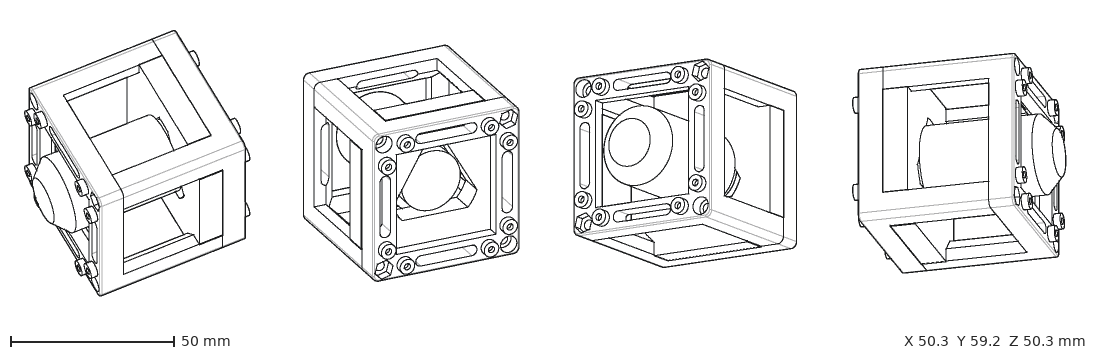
import cadquery as cq
import math

CUBE_SIZE = 49.8
BAR = 8.0
WINDOW = CUBE_SIZE - 2 * BAR
HALF_CUBE = CUBE_SIZE / 2
INNER_BEVEL = 4.0
BEVEL_REACH = WINDOW + INNER_BEVEL
POST_CENTRE = HALF_CUBE - BAR / 2
CORNER_RADIUS = 2.0
RIM_RADIUS = 0.5

SCREW_OFFSET = 21.2
SCREW_HOLE_DIAMETER = 3.1
HEAD_RECESS_DIAMETER = 5.5
NUT_ACROSS_FLATS = 5.5
NUT_ACROSS_CORNERS = NUT_ACROSS_FLATS / math.cos(math.radians(30))
NUT_TURN = 15.0
HEAD_RECESS_DEPTH = 4.0
NUT_RECESS_DEPTH = 3.0

SLOT_OFFSET = 20.75
SLOT_LENGTH = 20.8
SLOT_WIDTH = 3.5

STUD_DIAMETER = 4.95
STUD_HEIGHT = 2.2
STUD_OFFSET = 20.65
STUD_HALF_PITCH = 14.3
SOCKET_DIAMETER = 2.05
SOCKET_DEPTH = 1.5

PLATE_SPAN = 50.3
PLATE_THICKNESS = BAR
PLATE_REAR = HALF_CUBE - BAR
PLATE_FRONT = PLATE_REAR - PLATE_THICKNESS
OPENING_RADIUS = 15.0

BARREL_DIAMETER = 25.0
SPIGOT_DIAMETER = 20.0
SPIGOT_LENGTH = 5.0
NOSE_CHAMFER = 5.0
BARREL_FRONT = -HALF_CUBE - STUD_HEIGHT - NOSE_CHAMFER

TRIANGLE_CIRCUMDIAMETER = 2 * SPIGOT_DIAMETER

POST_CORNERS = [(-1, 1), (1, -1)]
SOCKET_CORNERS = [(-1, -1), (1, 1)]


def plane_at(y):
    """Workplane at a given Y, local X along +X, local Y along +Z, extruding towards -Y."""
    return cq.Workplane("XZ", origin=(0, y, 0))


def corner_points(corners, offset):
    return [(sx * offset, sz * offset) for sx, sz in corners]


def make_hollow():
    """Everything removed from the solid cube: windows along each axis and the bevelled inner cavity."""
    windows = cq.Workplane("XY")
    cavity = None
    for normal in ("XY", "YZ", "XZ"):
        side = cq.Workplane(normal)
        windows = windows.union(side.rect(WINDOW, WINDOW).extrude(HALF_CUBE, both=True))
        diamond = side.polygon(4, 2 * BEVEL_REACH).extrude(HALF_CUBE, both=True)
        cavity = diamond if cavity is None else cavity.intersect(diamond)
    return windows.union(cavity)


def make_blank():
    """Square ring with two diagonal posts, round long edges and a small round on the outer rim."""
    block = (
        plane_at(PLATE_REAR)
        .rect(CUBE_SIZE, CUBE_SIZE)
        .extrude(CUBE_SIZE - BAR)
        .edges("|Y")
        .fillet(CORNER_RADIUS)
        .faces("<Y")
        .edges()
        .fillet(RIM_RADIUS)
    )
    ring = plane_at(BAR - HALF_CUBE).rect(CUBE_SIZE, CUBE_SIZE).extrude(BAR)
    posts = (
        plane_at(PLATE_REAR)
        .pushPoints(corner_points(POST_CORNERS, POST_CENTRE))
        .rect(BAR, BAR)
        .extrude(CUBE_SIZE - BAR)
    )
    return block.intersect(ring.union(posts)).cut(make_hollow())


def make_screw_cuts():
    """Corner screw holes, with head recesses at the posts and nut recesses at the other corners."""
    all_corners = POST_CORNERS + SOCKET_CORNERS
    holes = (
        plane_at(HALF_CUBE)
        .pushPoints(corner_points(all_corners, SCREW_OFFSET))
        .circle(SCREW_HOLE_DIAMETER / 2)
        .extrude(CUBE_SIZE)
    )
    head_recesses = (
        plane_at(HEAD_RECESS_DEPTH - HALF_CUBE)
        .pushPoints(corner_points(POST_CORNERS, SCREW_OFFSET))
        .circle(HEAD_RECESS_DIAMETER / 2)
        .extrude(HEAD_RECESS_DEPTH)
    )
    cuts = holes.union(head_recesses)
    for x, z in corner_points(SOCKET_CORNERS, SCREW_OFFSET):
        nut_recess = (
            plane_at(NUT_RECESS_DEPTH - HALF_CUBE)
            .center(x, z)
            .transformed(rotate=(0, 0, NUT_TURN))
            .polygon(6, NUT_ACROSS_CORNERS)
            .extrude(NUT_RECESS_DEPTH)
        )
        cuts = cuts.union(nut_recess)
    return cuts


def make_slots():
    """One slot through each bar of the ring."""
    slot_start = plane_at(BAR - HALF_CUBE)
    level = slot_start.pushPoints([(0, -SLOT_OFFSET), (0, SLOT_OFFSET)])
    upright = slot_start.pushPoints([(-SLOT_OFFSET, 0), (SLOT_OFFSET, 0)])
    level_slots = level.slot2D(SLOT_LENGTH, SLOT_WIDTH).extrude(BAR)
    upright_slots = upright.slot2D(SLOT_LENGTH, SLOT_WIDTH, 90).extrude(BAR)
    return level_slots.union(upright_slots)


def stud_points():
    """Two studs on each bar, mirrored about the barrel axis."""
    points = []
    for sx in (-1, 1):
        for sz in (-1, 1):
            points.append((sx * STUD_HALF_PITCH, sz * STUD_OFFSET))
            points.append((sx * STUD_OFFSET, sz * STUD_HALF_PITCH))
    return points


def make_studs():
    studs = plane_at(-HALF_CUBE).pushPoints(stud_points()).circle(STUD_DIAMETER / 2).extrude(STUD_HEIGHT)
    sockets = (
        plane_at(SOCKET_DEPTH - HALF_CUBE - STUD_HEIGHT)
        .pushPoints(stud_points())
        .circle(SOCKET_DIAMETER / 2)
        .extrude(SOCKET_DEPTH)
    )
    return studs.cut(sockets)


def make_frame():
    """Half of the cage, in its front position."""
    return make_blank().cut(make_screw_cuts()).cut(make_slots()).union(make_studs())


def make_plate():
    """Cross that fits between the posts and against their bevels, with a blunted triangular opening."""
    cross = (
        plane_at(PLATE_REAR)
        .rect(PLATE_SPAN, WINDOW)
        .extrude(PLATE_THICKNESS)
        .union(plane_at(PLATE_REAR).rect(WINDOW, PLATE_SPAN).extrude(PLATE_THICKNESS))
    )
    corner_fill = (
        plane_at(PLATE_REAR)
        .polygon(4, 2 * BEVEL_REACH)
        .extrude(PLATE_THICKNESS)
        .intersect(plane_at(PLATE_REAR).rect(PLATE_SPAN, PLATE_SPAN).extrude(PLATE_THICKNESS))
    )
    triangle = (
        plane_at(PLATE_REAR)
        .transformed(rotate=(0, 0, 90))
        .polygon(3, TRIANGLE_CIRCUMDIAMETER)
        .extrude(PLATE_THICKNESS)
    )
    opening = triangle.intersect(plane_at(PLATE_REAR).circle(OPENING_RADIUS).extrude(PLATE_THICKNESS))
    return cross.union(corner_fill).cut(opening)


def make_barrel():
    body = (
        plane_at(PLATE_FRONT)
        .circle(BARREL_DIAMETER / 2)
        .extrude(PLATE_FRONT - BARREL_FRONT)
        .faces("<Y")
        .chamfer(NOSE_CHAMFER)
    )
    spigot = plane_at(PLATE_FRONT + SPIGOT_LENGTH).circle(SPIGOT_DIAMETER / 2).extrude(SPIGOT_LENGTH)
    return body.union(spigot)


frames = [make_frame().rotate((0, 0, 0), (0, 0, 1), turn) for turn in (0, 180)]
plate = make_plate()
barrel = make_barrel()

result = cq.Compound.makeCompound([*[frame.val() for frame in frames], plate.val(), barrel.val()])